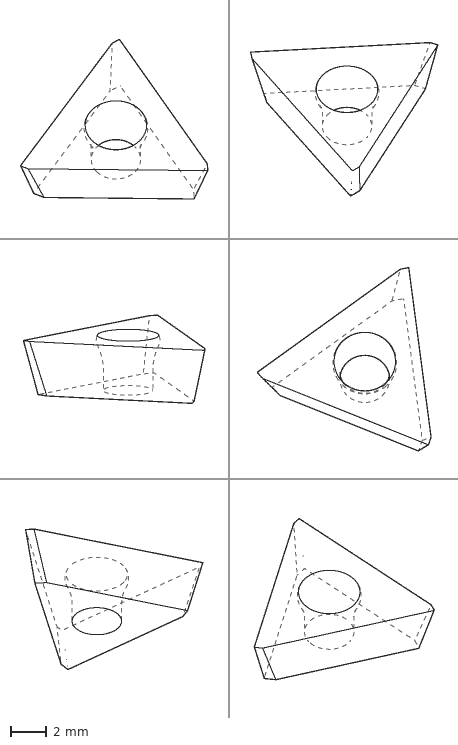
import cadquery as cq
import math

thickness = 3.18
corner_count = 3
corner_pitch = 360 / corner_count

inscribed_radius = 3.17
side_relief_angle = 7.1
first_side_direction = 180.0

facet_distance = 4.98
facet_relief_angle = 13.2
facet_turn = 94.5
edge_round = 0.03

mouth_radius = 1.74
bore_radius = 1.4
mouth_depth = 0.55
bore_depth = 2.0


def meeting_point(direction_a, distance_a, direction_b, distance_b):
    """Corner of two lines, each given by its outward direction and distance from the axis."""
    a = math.radians(direction_a)
    b = math.radians(direction_b)
    spread = math.sin(b - a)
    x = (distance_a * math.sin(b) - distance_b * math.sin(a)) / spread
    y = (distance_b * math.cos(a) - distance_a * math.cos(b)) / spread
    return (x, y)


def outline(depth):
    """Corner points of the six-sided section at the given depth below the top."""
    side = inscribed_radius - depth * math.tan(math.radians(side_relief_angle))
    facet = facet_distance - depth * math.tan(math.radians(facet_relief_angle))
    points = []
    for corner in range(corner_count):
        this_side = first_side_direction + corner * corner_pitch
        facet_direction = this_side + facet_turn
        next_side = this_side + corner_pitch
        points.append(meeting_point(this_side, side, facet_direction, facet))
        points.append(meeting_point(facet_direction, facet, next_side, side))
    return points


def make_body():
    body = (
        cq.Workplane("XY")
        .polyline(outline(0))
        .close()
        .workplane(offset=-thickness)
        .polyline(outline(thickness))
        .close()
        .loft(ruled=True, combine=True)
    )
    top_corners = outline(0)
    bottom_corners = outline(thickness)
    for top, bottom in zip(top_corners[::2], bottom_corners[::2]):
        middle = ((top[0] + bottom[0]) / 2, (top[1] + bottom[1]) / 2, -thickness / 2)
        body = body.edges(cq.selectors.NearestToPointSelector(middle)).fillet(edge_round)
    return body


def make_hole():
    flare_height = bore_depth - mouth_depth
    slope = 2 * math.atan((mouth_radius - bore_radius) / flare_height)
    flare_radius = flare_height / math.sin(slope)
    flare_middle = (
        bore_radius + flare_radius * (1 - math.cos(slope / 2)),
        -bore_depth + flare_radius * math.sin(slope / 2),
    )
    barrel_bulge = mouth_depth / 2 * math.tan(slope / 2)
    return (
        cq.Workplane("XZ")
        .moveTo(0, 0)
        .lineTo(mouth_radius, 0)
        .threePointArc((mouth_radius + barrel_bulge, -mouth_depth / 2), (mouth_radius, -mouth_depth))
        .threePointArc(flare_middle, (bore_radius, -bore_depth))
        .lineTo(bore_radius, -thickness)
        .lineTo(0, -thickness)
        .close()
        .revolve(360, (0, 0, 0), (0, 1, 0))
    )


result = make_body().cut(make_hole())